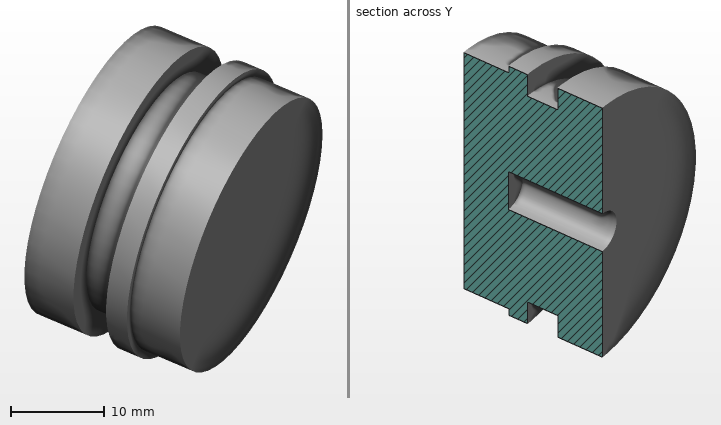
import cadquery as cq

flange_diameter = 33.53
groove_diameter = 27.73
spigot_diameter = 31.8

total_length = 18.55
flange_length = 6.0
groove_width = 4.0
spigot_length = 6.0
collar_length = total_length - flange_length - groove_width - spigot_length

hole_diameter = 5.03
hole_depth = total_length - spigot_length

sections = [
    (flange_diameter, flange_length),
    (groove_diameter, groove_width),
    (flange_diameter, collar_length),
    (spigot_diameter, spigot_length),
]


def disc(diameter, length, start):
    """Solid cylinder along +X, beginning at x = start."""
    return cq.Workplane("YZ", origin=(start, 0, 0)).circle(diameter / 2).extrude(length)


def stepped_body():
    """Join the round sections end to end."""
    body = cq.Workplane("YZ")
    start = 0
    for diameter, length in sections:
        body = body.union(disc(diameter, length, start))
        start += length
    return body


result = stepped_body().cut(disc(hole_diameter, hole_depth, 0))